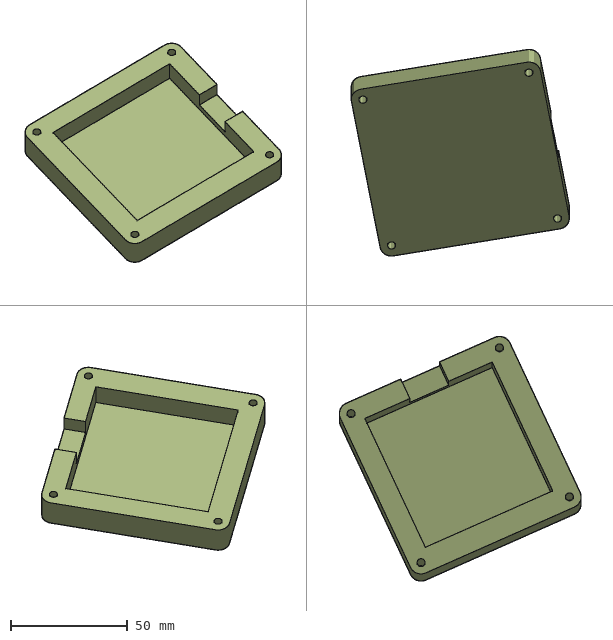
import cadquery as cq

width = 79.9
length = 82.3
height = 13.0
corner_radius = 5.0

pocket_width = 60.0
pocket_length = 62.5
pocket_left_wall = 9.5
pocket_back_wall = 9.5
pocket_depth = 10.0

notch_width = 18.3
notch_left = 30.7
notch_depth = 7.0

hole_diameter = 3.4

left = -width / 2
back = length / 2


def top_cutter(x_min, y_min, size_x, size_y, depth):
    """Box that reaches down from the top face by the given depth."""
    return cq.Workplane("XY").box(size_x, size_y, depth, centered=False).translate(
        (x_min, y_min, height - depth)
    )


block = cq.Workplane("XY").rect(width, length).extrude(height).edges("|Z").fillet(corner_radius)

pocket = top_cutter(
    left + pocket_left_wall,
    back - pocket_back_wall - pocket_length,
    pocket_width,
    pocket_length,
    pocket_depth,
)

notch = top_cutter(
    left + notch_left, back - pocket_back_wall, notch_width, pocket_back_wall, notch_depth
)

holes = (
    cq.Workplane("XY")
    .rect(width - 2 * corner_radius, length - 2 * corner_radius, forConstruction=True)
    .vertices()
    .circle(hole_diameter / 2)
    .extrude(height)
)

result = block.cut(pocket).cut(notch).cut(holes)